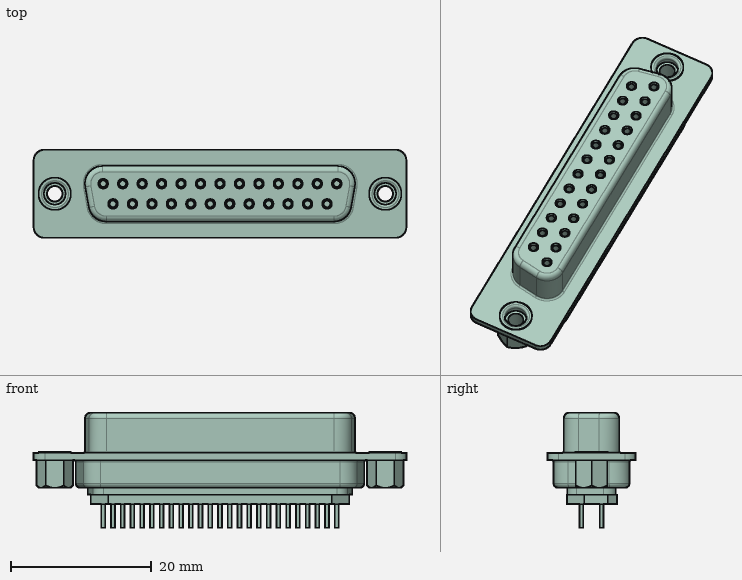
import cadquery as cq
import math


TOTAL_HEIGHT = 16.4

FLANGE_LENGTH = 53.05
FLANGE_WIDTH = 12.55
FLANGE_THICKNESS = 1.0
FLANGE_CORNER_RADIUS = 1.6

FLANK_ANGLE = 10.0
SHELL_MID_HALF = 19.0
SHELL_WIDTH = 7.9
SHELL_HEIGHT = 5.75
SHELL_CORNER_RADIUS = 2.5
SHELL_TOP_FILLET = 0.8

CAN_MID_HALF = 20.05
CAN_WIDTH = 10.8
CAN_CORNER_RADIUS = 2.5
CAN_BOTTOM_Z = -5.0
CAN_BOTTOM_FILLET = 0.7

FLARE_RADIUS = 0.25

STEP_MID_HALF = 18.5
STEP_WIDTH = 6.95
STEP_CORNER_RADIUS = 1.55
STEP_BOTTOM_Z = -5.95

PLATE_HALF_LENGTH = 18.4
PLATE_BACK_Y = 3.65
PLATE_FRONT_Y = -3.5
PLATE_BACK_CHAMFER = 1.4
PLATE_FRONT_CHAMFER = 2.5
PLATE_BOTTOM_Z = -7.25

BACK_ROW_COUNT = 13
FRONT_ROW_COUNT = BACK_ROW_COUNT - 1
BACK_ROW_LENGTH = 33.2
CONTACT_PITCH = BACK_ROW_LENGTH / (BACK_ROW_COUNT - 1)
ROW_Y = 1.45
PIN_DIAMETER = 0.6
PIN_BOTTOM_Z = SHELL_HEIGHT - TOTAL_HEIGHT
SOCKET_DIAMETER = 0.95
SOCKET_DEPTH = 2.65
SOCKET_CHAMFER = 0.2

INSERT_X = 23.5
NUT_ACROSS_FLATS = 4.5
NUT_CORNER_CHAMFER = 0.35
RIM_DIAMETER = 4.6
RIM_HEIGHT = 0.15
INSERT_BORE_DIAMETER = 3.1
INSERT_BORE_FILLET = 0.35
THREAD_DIAMETER = 2.2


def block(bottom_z, top_z):
    """Workplane at bottom_z together with the height up to top_z."""
    return cq.Workplane("XY", origin=(0, 0, bottom_z)), top_z - bottom_z


def d_body(mid_half, width, corner_radius, bottom_z, top_z):
    """D-shaped prism, wider towards +Y, with rounded upright edges."""
    half_width = width / 2
    flare = half_width * math.tan(math.radians(FLANK_ANGLE))
    outline = [
        (-mid_half - flare, half_width),
        (mid_half + flare, half_width),
        (mid_half - flare, -half_width),
        (-mid_half + flare, -half_width),
    ]
    plane, height = block(bottom_z, top_z)
    return plane.polyline(outline).close().extrude(height).edges("|Z").fillet(corner_radius)


def level_edges(z, length, width):
    """Selector for the edges at height z inside a centred length x width rectangle."""
    reach = 0.005
    return cq.selectors.BoxSelector(
        (-length / 2, -width / 2, z - reach),
        (length / 2, width / 2, z + reach),
    )


def make_housing():
    plane, height = block(-FLANGE_THICKNESS, 0)
    flange = plane.rect(FLANGE_LENGTH, FLANGE_WIDTH).extrude(height)
    flange = flange.edges("|Z").fillet(FLANGE_CORNER_RADIUS)

    shell = d_body(SHELL_MID_HALF, SHELL_WIDTH, SHELL_CORNER_RADIUS, -FLANGE_THICKNESS, SHELL_HEIGHT)
    shell = shell.faces(">Z").edges().fillet(SHELL_TOP_FILLET)
    can = d_body(CAN_MID_HALF, CAN_WIDTH, CAN_CORNER_RADIUS, CAN_BOTTOM_Z, 0)
    can = can.faces("<Z").edges().fillet(CAN_BOTTOM_FILLET)

    bend_length = 2 * INSERT_X
    bend_width = (FLANGE_WIDTH + CAN_WIDTH) / 2
    housing = flange.union(shell).union(can)
    for z in (0, -FLANGE_THICKNESS):
        housing = housing.edges(level_edges(z, bend_length, bend_width)).fillet(FLARE_RADIUS)
    return housing


def make_step():
    return d_body(STEP_MID_HALF, STEP_WIDTH, STEP_CORNER_RADIUS, STEP_BOTTOM_Z, CAN_BOTTOM_Z)


def make_pin_plate():
    plane, height = block(PLATE_BOTTOM_Z, STEP_BOTTOM_Z)
    width = PLATE_BACK_Y - PLATE_FRONT_Y
    plate = (
        plane.center(0, (PLATE_BACK_Y + PLATE_FRONT_Y) / 2)
        .rect(2 * PLATE_HALF_LENGTH, width)
        .extrude(height)
    )
    plate = plate.edges("|Z and >Y").chamfer(PLATE_BACK_CHAMFER)
    return plate.edges("|Z and <Y").chamfer(PLATE_FRONT_CHAMFER)


def contact_points():
    """Centres of the two staggered contact rows."""
    points = []
    for count, y in ((BACK_ROW_COUNT, ROW_Y), (FRONT_ROW_COUNT, -ROW_Y)):
        first_x = -CONTACT_PITCH * (count - 1) / 2
        points += [(first_x + i * CONTACT_PITCH, y) for i in range(count)]
    return points


def make_pins():
    plane, height = block(PIN_BOTTOM_Z, PLATE_BOTTOM_Z)
    return plane.pushPoints(contact_points()).circle(PIN_DIAMETER / 2).extrude(height)


def make_sockets():
    """Blind socket holes with a chamfered mouth, as a cutting body."""
    plane, height = block(SHELL_HEIGHT - SOCKET_DEPTH, SHELL_HEIGHT)
    holes = plane.pushPoints(contact_points()).circle(SOCKET_DIAMETER / 2).extrude(height)
    mouth_radius = SOCKET_DIAMETER / 2 + SOCKET_CHAMFER
    mouths = (
        cq.Workplane("XY", origin=(0, 0, SHELL_HEIGHT))
        .pushPoints(contact_points())
        .circle(mouth_radius)
        .extrude(-SOCKET_CHAMFER, taper=45)
    )
    return holes.union(mouths)


def make_insert():
    """Hexagonal nut under the flange with a low round rim above it."""
    corner_diameter = NUT_ACROSS_FLATS / math.cos(math.pi / 6)
    plane, height = block(CAN_BOTTOM_Z, -FLANGE_THICKNESS)
    envelope = plane.circle(corner_diameter / 2).extrude(height)
    envelope = envelope.faces("<Z").edges().chamfer(NUT_CORNER_CHAMFER)
    nut = plane.polygon(6, corner_diameter).extrude(height).intersect(envelope)

    rim_plane, rim_height = block(-FLANGE_THICKNESS, RIM_HEIGHT)
    return nut.union(rim_plane.circle(RIM_DIAMETER / 2).extrude(rim_height))


def make_insert_bore():
    """Turned cutting profile: thread hole, wider bore above it, rounded mouth."""
    thread_radius = THREAD_DIAMETER / 2
    bore_radius = INSERT_BORE_DIAMETER / 2
    return (
        cq.Workplane("XZ")
        .moveTo(0, CAN_BOTTOM_Z)
        .lineTo(thread_radius, CAN_BOTTOM_Z)
        .lineTo(thread_radius, -FLANGE_THICKNESS)
        .lineTo(bore_radius, -FLANGE_THICKNESS)
        .lineTo(bore_radius, RIM_HEIGHT - INSERT_BORE_FILLET)
        .radiusArc((bore_radius + INSERT_BORE_FILLET, RIM_HEIGHT), INSERT_BORE_FILLET)
        .lineTo(0, RIM_HEIGHT)
        .close()
        .revolve(360, (0, 0, 0), (0, 1, 0))
    )


result = make_housing().union(make_step()).union(make_pin_plate()).union(make_pins())
result = result.cut(make_sockets())
for insert_x in (-INSERT_X, INSERT_X):
    result = result.union(make_insert().translate((insert_x, 0, 0)))
    result = result.cut(make_insert_bore().translate((insert_x, 0, 0)))